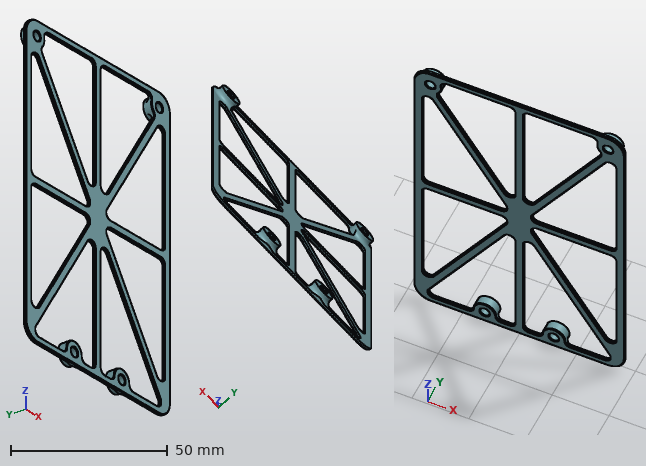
import cadquery as cq
import math

width = 74.0
height = 116.0
total_depth = 3.5

plate_thickness = 1.0
corner_radius = 6.0
side_rim = 3.0
end_rim = 2.5
rib_width = 3.0
front_chamfer = 0.3
window_radius = 2.0

rib_half = rib_width / 2
window_side_x = width / 2 - side_rim
window_end_z = height / 2 - end_rim
slope = height / width
diagonal_rise = rib_half * math.hypot(1, slope)

boss_diameter = 8.0
hole_diameter = 3.25
boss_fillet = 1.5
upper_boss_x = 31.25
upper_boss_z = height / 2 - 5.75
lower_boss_x = 12.15
lower_boss_z = -height / 2 + 4.35

boss_radius = boss_diameter / 2
boss_points = [
    (-upper_boss_x, upper_boss_z),
    (upper_boss_x, upper_boss_z),
    (-lower_boss_x, lower_boss_z),
    (lower_boss_x, lower_boss_z),
]


def prism(outline, depth):
    """Extrude an XZ outline from Y = 0 toward +Y."""
    return outline.extrude(-depth)


def front_plane():
    return cq.Workplane("XZ")


def boss_cylinder(x, z, diameter):
    """A cylinder along Y, with its seam turned into the nearest end rim."""
    toward_rim = (0, 0, math.copysign(1, z))
    plane = cq.Plane(origin=(x, 0, z), xDir=toward_rim, normal=(0, 1, 0))
    return cq.Workplane(plane).circle(diameter / 2).extrude(total_depth)


def side_window(sign_x, sign_z):
    """The triangular opening between a side rim, the cross rib and a diagonal rib."""
    outline = [
        (sign_x * (rib_half + diagonal_rise) / slope, sign_z * rib_half),
        (sign_x * window_side_x, sign_z * rib_half),
        (sign_x * window_side_x, sign_z * (slope * window_side_x - diagonal_rise)),
    ]
    opening = prism(front_plane().polyline(outline).close(), total_depth)
    return opening.edges("|Y").fillet(window_radius)


def end_window(sign_x, sign_z):
    """The triangular opening next to an end rim, which leaves its boss standing."""
    outline = [
        (sign_x * rib_half, sign_z * (slope * rib_half + diagonal_rise)),
        (sign_x * rib_half, sign_z * window_end_z),
        (sign_x * (window_end_z - diagonal_rise) / slope, sign_z * window_end_z),
    ]
    opening = prism(front_plane().polyline(outline).close(), total_depth)
    for x, z in boss_points:
        opening = opening.cut(boss_cylinder(x, z, boss_diameter))
    opening = cq.Workplane(max(opening.solids().vals(), key=lambda piece: piece.Volume()))
    return opening.edges("|Y").fillet(window_radius)


def frame_prism():
    """The frame outline with all eight windows, as deep as the whole part."""
    frame = prism(front_plane().rect(width, height), total_depth)
    frame = frame.edges("|Y").fillet(corner_radius)
    for sign_x in (-1, 1):
        for sign_z in (-1, 1):
            frame = frame.cut(side_window(sign_x, sign_z))
            frame = frame.cut(end_window(sign_x, sign_z))
    return frame


def flared_boss(x, z):
    """A boss whose foot flares onto the plate with a concave fillet."""
    flare_radius = boss_radius + boss_fillet
    flare_top = plate_thickness + boss_fillet
    bend = boss_fillet * (1 - math.sqrt(0.5))
    profile = (
        cq.Workplane("XY")
        .moveTo(0, 0)
        .lineTo(flare_radius, 0)
        .lineTo(flare_radius, plate_thickness)
        .threePointArc(
            (boss_radius + bend, plate_thickness + bend),
            (boss_radius, flare_top),
        )
        .lineTo(boss_radius, total_depth)
        .lineTo(0, total_depth)
        .close()
    )
    boss = profile.revolve(360, (0, 0, 0), (0, 1, 0))
    return boss.translate((x, 0, z))


full_frame = frame_prism()
plate_slab = prism(front_plane().rect(width, height), plate_thickness)
result = full_frame.intersect(plate_slab)
for boss_x, boss_z in boss_points:
    result = result.union(flared_boss(boss_x, boss_z).intersect(full_frame))
for boss_x, boss_z in boss_points:
    result = result.cut(boss_cylinder(boss_x, boss_z, hole_diameter))
result = result.faces("<Y").chamfer(front_chamfer)